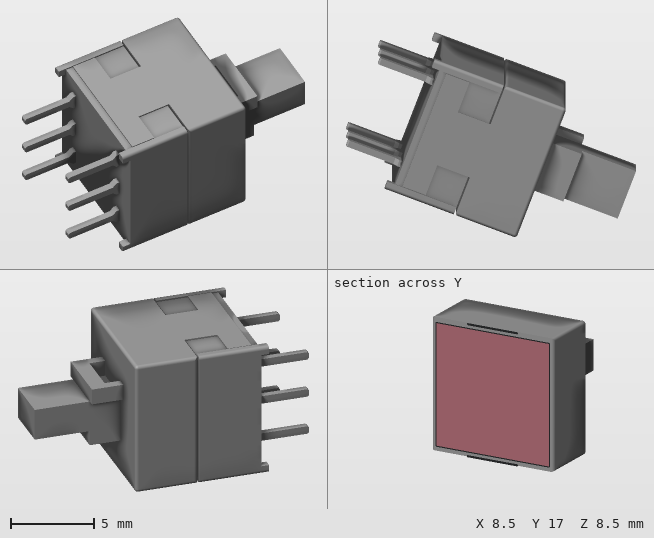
import cadquery as cq


side = 8.5
edge_radius = 0.2
front_y = 8.0
split_y = 4.0
gap = 0.1
gap_depth = 0.3
cover_rear_y = split_y + gap / 2
base_front_y = split_y - gap / 2

foot_size = 0.5
foot_length = 0.5

tongue_thickness = 0.1
tongue_neck_width = 3.5
tongue_bar_width = 7.4
tongue_bar_rear_y = 0.45
tongue_bar_front_y = 1.95

tip_y = 13.5
plunger_width = 3.12
plunger_height = 2.0
collar_front_y = 10.0
collar_size = 3.95
plate_thickness = 1.0
notch_width = 2.8
notch_length = 1.0

pin_column_spacing = 5.4
pin_row_spacing = 2.5
pin_rows = 3
pin_thickness = 0.4
pin_root_width = 1.0
pin_shank_width = 0.5
pin_root_length = 0.2
pin_length = 3.5
pin_tip_chamfer = 0.1


def centered_block(width, height, rear_y, block_front_y):
    """Block centred on X and Z that spans the given Y range."""
    length = block_front_y - rear_y
    return cq.Workplane("XY").box(width, length, height).translate((0, rear_y + length / 2, 0))


def make_cover():
    """Front half of the housing; its top and bottom rear edges stay sharp for the tongues."""
    block = centered_block(side, side, cover_rear_y, front_y)
    return block.edges("|Y or >Y or (<Y and |Z)").fillet(edge_radius)


def make_base():
    """Rear half of the housing, with four corner feet and recesses for the tongues."""
    base = centered_block(side, side, -foot_length, base_front_y).edges("|Y").fillet(edge_radius)
    inner_width = side - 2 * foot_size
    base = base.cut(centered_block(side, inner_width, -foot_length, 0))
    base = base.cut(centered_block(inner_width, side, -foot_length, 0))
    recess = centered_block(inner_width, side, 0, base_front_y)
    core = centered_block(inner_width, side - 2 * tongue_thickness, 0, base_front_y)
    return base.cut(recess.cut(core))


def make_neck():
    """Inner body that joins cover and base across the gap."""
    width = side - 2 * gap_depth
    return centered_block(width, width, base_front_y, cover_rear_y)


def make_tongues():
    """T-shaped tongues flush with the top and bottom of the cover."""
    neck = centered_block(tongue_neck_width, side, tongue_bar_front_y, cover_rear_y)
    bar = centered_block(tongue_bar_width, side, tongue_bar_rear_y, tongue_bar_front_y)
    between = centered_block(side, side - 2 * tongue_thickness, 0, cover_rear_y)
    return neck.union(bar).cut(between)


def make_plunger():
    """Rectangular plunger with a deeper stem at the cover and a wider notched plate on top."""
    plate_top_z = collar_size / 2
    plate_z = plate_top_z - plate_thickness / 2
    tip_z = plate_top_z - plate_thickness - plunger_height / 2
    tip = centered_block(plunger_width, plunger_height, front_y, tip_y).translate((0, 0, tip_z))
    stem = centered_block(plunger_width, collar_size, front_y, collar_front_y)
    plate = centered_block(collar_size, plate_thickness, front_y, collar_front_y)
    notch = centered_block(notch_width, plate_thickness, front_y, front_y + notch_length)
    collar = stem.union(plate.translate((0, 0, plate_z)))
    return collar.cut(notch.translate((0, 0, plate_z))).union(tip)


def make_pin(x, z):
    """Flat terminal with a wide root, a 45 degree taper and a chamfered tip."""
    root = pin_root_width / 2
    shank = pin_shank_width / 2
    taper_end = pin_root_length + root - shank
    upper_half = [
        (0, root),
        (-pin_root_length, root),
        (-taper_end, shank),
        (pin_tip_chamfer - pin_length, shank),
        (-pin_length, shank - pin_tip_chamfer),
    ]
    lower_half = [(y, -half_width) for y, half_width in reversed(upper_half)]
    profile = cq.Workplane("YZ").polyline(upper_half + lower_half).close()
    return profile.extrude(pin_thickness / 2, both=True).translate((x, 0, z))


result = make_cover().union(make_neck()).union(make_base()).union(make_tongues()).union(make_plunger())
for column_x in (-pin_column_spacing / 2, pin_column_spacing / 2):
    for row in range(pin_rows):
        row_z = (row - (pin_rows - 1) / 2) * pin_row_spacing
        result = result.union(make_pin(column_x, row_z))